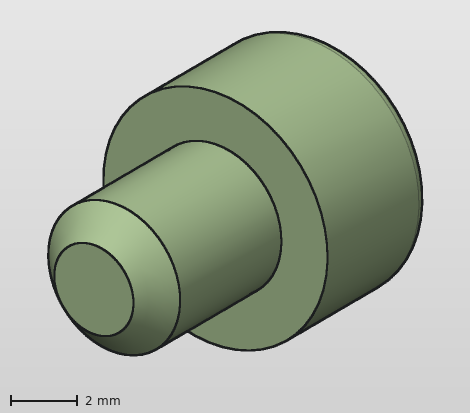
import cadquery as cq

total_length = 11.0
head_diameter = 8.5
head_length = 5.0
head_edge_radius = 0.5
shank_diameter = 5.0
tip_chamfer = 1.0

shank_length = total_length - head_length


def cylinder_along_y(diameter, start_y, length):
    """Solid cylinder on the Y axis, running from start_y towards +Y."""
    axis_start = cq.Vector(0, start_y, 0)
    solid = cq.Solid.makeCylinder(diameter / 2, length, axis_start, cq.Vector(0, 1, 0))
    return cq.Workplane(obj=solid)


head = cylinder_along_y(head_diameter, 0, head_length).faces(">Y").edges().fillet(head_edge_radius)

shank = cylinder_along_y(shank_diameter, -shank_length, shank_length).faces("<Y").edges().chamfer(tip_chamfer)

result = head.union(shank)